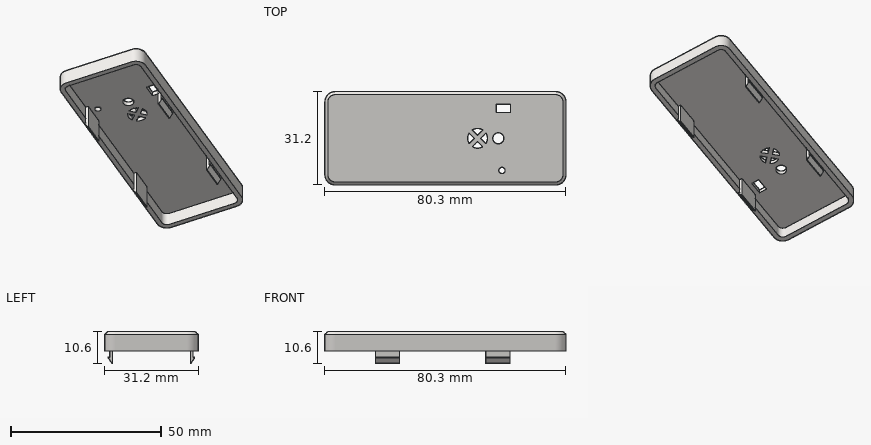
import cadquery as cq

length = 80.35
width = 31.2
shell_height = 6.6
corner_radius = 3.5
edge_chamfer = 1.05
wall = 1.7
roof = 1.7

hook_drop = 4.0
hook_length = 8.1
hook_thickness = 1.0
barb_reach = 0.5
barb_shelf_drop = 2.0
barb_lip = 0.25
hook_tip = 0.25
hook_centers_x = (-19.3, 17.4)

grille_x = 10.7
grille_diameter = 6.5
grille_bar = 1.5
switch_hole_x = 17.6
switch_hole_diameter = 3.6
reset_hole_x = 18.8
reset_hole_y = -10.7
reset_hole_diameter = 2.0
slot_x = 19.3
slot_y = 10.0
slot_length = 4.7
slot_width = 2.7

roof_underside = shell_height - roof
inner_width = width - 2 * wall


def make_shell():
    """Rounded, chamfered cover with a cavity that is open at z = 0."""
    outer = (
        cq.Workplane("XY")
        .rect(length, width)
        .extrude(shell_height)
        .edges("|Z")
        .fillet(corner_radius)
        .faces(">Z")
        .edges()
        .chamfer(edge_chamfer)
    )
    cavity = (
        cq.Workplane("XY")
        .rect(length - 2 * wall, inner_width)
        .extrude(roof_underside)
        .edges("|Z")
        .fillet(corner_radius - wall)
    )
    return outer.cut(cavity)


def make_hook(center_x):
    """Hook on the +Y wall: a strip down from the roof with an outward barb."""
    outer_face = inner_width / 2
    inner_face = outer_face - hook_thickness
    barb_face = outer_face + barb_reach
    profile = [
        (inner_face, roof_underside),
        (outer_face, roof_underside),
        (outer_face, -barb_shelf_drop),
        (barb_face, -barb_shelf_drop),
        (barb_face, -barb_shelf_drop - barb_lip),
        (inner_face + hook_tip, -hook_drop),
        (inner_face, -hook_drop),
    ]
    return (
        cq.Workplane("YZ", origin=(center_x - hook_length / 2, 0, 0))
        .polyline(profile)
        .close()
        .extrude(hook_length)
    )


def roof_plane(x, y):
    """Workplane on the underside of the roof, centred at (x, y)."""
    return cq.Workplane("XY", origin=(x, y, roof_underside))


def make_grille():
    """Round opening divided into quarters by two diagonal bars."""
    opening = roof_plane(grille_x, 0).circle(grille_diameter / 2).extrude(roof)
    for angle in (45, -45):
        bar = (
            roof_plane(grille_x, 0)
            .transformed(rotate=(0, 0, angle))
            .rect(2 * grille_diameter, grille_bar)
            .extrude(roof)
        )
        opening = opening.cut(bar)
    return opening


result = make_shell()

for hook_x in hook_centers_x:
    hook = make_hook(hook_x)
    result = result.union(hook).union(hook.mirror("XZ"))

switch_hole = roof_plane(switch_hole_x, 0).circle(switch_hole_diameter / 2).extrude(roof)
reset_hole = roof_plane(reset_hole_x, reset_hole_y).circle(reset_hole_diameter / 2).extrude(roof)
slot = roof_plane(slot_x, slot_y).rect(slot_length, slot_width).extrude(roof)

result = result.cut(make_grille()).cut(switch_hole).cut(reset_hole).cut(slot)